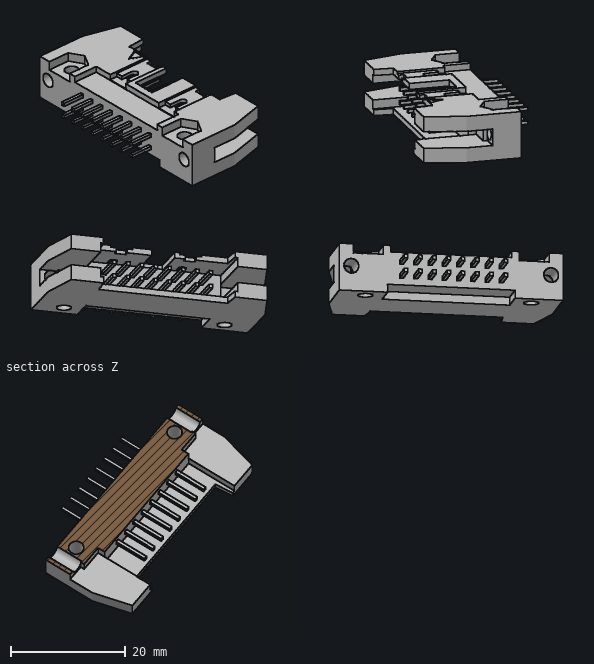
import cadquery as cq
import math


width = 39.9
height = 8.5
body_depth = 13.8
tower_depth = 17.3
shoulder_y = 10.0
tower_outer_x = 18.0
tower_inner_x = 12.1
tower_root_x = 11.8
top = height / 2
bottom = -height / 2

wall = 1.1
cavity_half_width = 12.6
cavity_floor_y = 7.45
slot_height = 3.0
slot_inner_floor_y = 6.02
slot_outer_floor_y = 5.25
slot_step_x = 16.8

recess_depth_y = 5.03
top_recess_width = 21.5
top_recess_depth = 1.15
bottom_recess_width = 22.7
bottom_recess_depth = 1.45

pins_per_row = 8
pin_row_length = 17.75
pitch = pin_row_length / (pins_per_row - 1)
pin_size = 0.65
pin_tail = 4.45
pin_tip_y = 13.55

hole_diameter = 2.6
mount_x = 14.75
mount_y = 2.87
nut_width = 5.3
nut_depth = 1.68
board_hole_x = 17.8
board_hole_z = 0.25

key_width = 4.23
key_start_y = 6.5

latch_centres = (-2 * pitch, 3 * pitch)
latch_width = 4.03
latch_arm_drop = 0.35
latch_base_drop = 1.05
latch_arm_y = 6.6
latch_slot_width = 1.4
latch_slot_end_y = 9.6
latch_notch_width = 2
latch_notch_depth = 0.95

mark_width = 2.55
mark_length = 2.5
mark_gap = 0.25
mark_depth = 0.2


def block(x_range, y_range, z_range):
    """Axis-aligned box between the given limits."""
    x0, x1 = x_range
    y0, y1 = y_range
    z0, z1 = z_range
    return cq.Workplane("XY").box(x1 - x0, y1 - y0, z1 - z0, centered=False).translate((x0, y0, z0))


def centred_block(x, x_size, y_range, z_range):
    """Box centred on x, between the given Y and Z limits."""
    return block((x - x_size / 2, x + x_size / 2), y_range, z_range)


def housing_blank():
    """Solid housing outline with a tower at each end."""
    right_half = [
        (width / 2, 0),
        (width / 2, shoulder_y),
        (tower_outer_x, tower_depth),
        (tower_inner_x, tower_depth),
        (tower_root_x, body_depth),
    ]
    left_half = [(-x, y) for x, y in reversed(right_half)]
    return cq.Workplane("XY", origin=(0, 0, bottom)).polyline(right_half + left_half).close().extrude(height)


def cavity():
    """Pin cavity plus the stepped ejector slots that open through both ends."""
    slot_z = (-slot_height / 2, slot_height / 2)
    pin_space = centred_block(
        0, 2 * cavity_half_width, (cavity_floor_y, tower_depth), (bottom + wall, top - wall)
    )
    slots = centred_block(0, width, (slot_inner_floor_y, tower_depth), slot_z)
    slots = slots.cut(
        centred_block(0, 2 * cavity_half_width, (slot_inner_floor_y, cavity_floor_y), slot_z)
    )
    cutter = pin_space.union(slots)
    for x_range in ((-width / 2, -slot_step_x), (slot_step_x, width / 2)):
        cutter = cutter.union(block(x_range, (slot_outer_floor_y, tower_depth), slot_z))
    return cutter


def board_recesses():
    """Shallow recesses at the board side of the top and bottom faces."""
    y_range = (0, recess_depth_y)
    upper = centred_block(0, top_recess_width, y_range, (top - top_recess_depth, top))
    lower = centred_block(0, bottom_recess_width, y_range, (bottom, bottom + bottom_recess_depth))
    return upper.union(lower)


def mounting(side):
    """Vertical screw hole with its nut pocket, and the board-side hole into the ejector slot."""
    x = side * mount_x
    pocket_z = (top - nut_depth, top)
    nut_corners = nut_width / math.cos(math.pi / 6)
    screw = cq.Workplane("XY", origin=(x, mount_y, bottom)).circle(hole_diameter / 2).extrude(height)
    nut = (
        cq.Workplane("XY")
        .polygon(6, nut_corners)
        .extrude(nut_depth)
        .rotate((0, 0, 0), (0, 0, 1), 90)
        .translate((x, mount_y, pocket_z[0]))
    )
    nut_entry = centred_block(x, nut_width, (0, mount_y), pocket_z)
    board_hole = (
        cq.Workplane("XZ", origin=(side * board_hole_x, 0, board_hole_z))
        .circle(hole_diameter / 2)
        .extrude(-slot_outer_floor_y)
    )
    return screw.union(nut).union(nut_entry).union(board_hole)


def keyway():
    """Polarising notch through the top wall."""
    return centred_block(0, key_width, (key_start_y, body_depth), (top - wall, top))


def latch(x):
    """Recessed latch arm with a deeper base, a round-ended slot and a notch at its tip."""
    through_wall = (top - wall, top)
    slot_radius = latch_slot_width / 2
    slot_centre_y = latch_slot_end_y - slot_radius
    base_z = (top - latch_base_drop, top)
    arm = centred_block(x, latch_width, (latch_arm_y, body_depth), (top - latch_arm_drop, top))
    base = centred_block(x, latch_width, (recess_depth_y, latch_arm_y), base_z)
    slot_base = centred_block(x, latch_slot_width, (latch_arm_y, cavity_floor_y), base_z)
    slot = centred_block(x, latch_slot_width, (cavity_floor_y, slot_centre_y), through_wall)
    slot_end = (
        cq.Workplane("XY", origin=(x, slot_centre_y, top - wall)).circle(slot_radius).extrude(wall)
    )
    notch = centred_block(
        x, latch_notch_width, (body_depth - latch_notch_depth, body_depth), through_wall
    )
    return arm.union(base).union(slot_base).union(slot).union(slot_end).union(notch)


def pin_one_mark():
    """Engraved triangle pointing at the first pin."""
    x = -pin_row_length / 2
    base_y = body_depth - mark_gap
    corners = [(x - mark_width / 2, base_y), (x + mark_width / 2, base_y), (x, base_y - mark_length)]
    return cq.Workplane("XY", origin=(0, 0, top - mark_depth)).polyline(corners).close().extrude(mark_depth)


def pin(x, z):
    """Square pin running from its tail, through the housing, to its tip in the cavity."""
    half = pin_size / 2
    return centred_block(x, pin_size, (-pin_tail, pin_tip_y), (z - half, z + half))


result = housing_blank().cut(cavity()).cut(board_recesses()).cut(keyway()).cut(pin_one_mark())
for side in (-1, 1):
    result = result.cut(mounting(side))
for latch_x in latch_centres:
    result = result.cut(latch(latch_x))
for column in range(pins_per_row):
    pin_x = column * pitch - pin_row_length / 2
    for pin_z in (-pitch / 2, pitch / 2):
        result = result.union(pin(pin_x, pin_z))